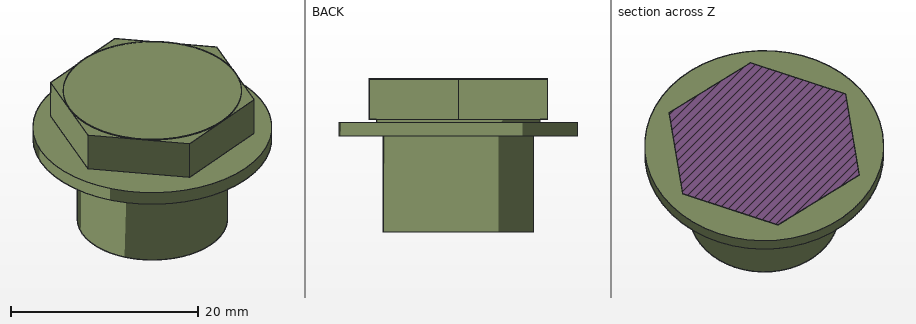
import cadquery as cq

total_height = 16.4
flange_diameter = 25.52

shank_diameter = 16.08
shank_length = 10.23

flange_thickness = 1.48

neck_diameter = 17.5
neck_height = 0.3

across_flats = 19.05
crown_height = 0.1

flange_top = shank_length + flange_thickness
head_bottom = flange_top + neck_height
head_height = total_height - crown_height - head_bottom


def disc(diameter, bottom, height):
    """Solid cylinder on the Z axis, standing on the given level."""
    return cq.Workplane("XY").workplane(offset=bottom).circle(diameter / 2).extrude(height)


shank = disc(shank_diameter, 0, shank_length)
flange = disc(flange_diameter, shank_length, flange_thickness)
neck = disc(neck_diameter, flange_top, neck_height)

head = (
    cq.Workplane("XY")
    .workplane(offset=head_bottom)
    .polygon(6, across_flats, circumscribed=True)
    .extrude(head_height)
)

crown = disc(across_flats, head_bottom + head_height, crown_height)

result = shank.union(flange).union(neck).union(head).union(crown)